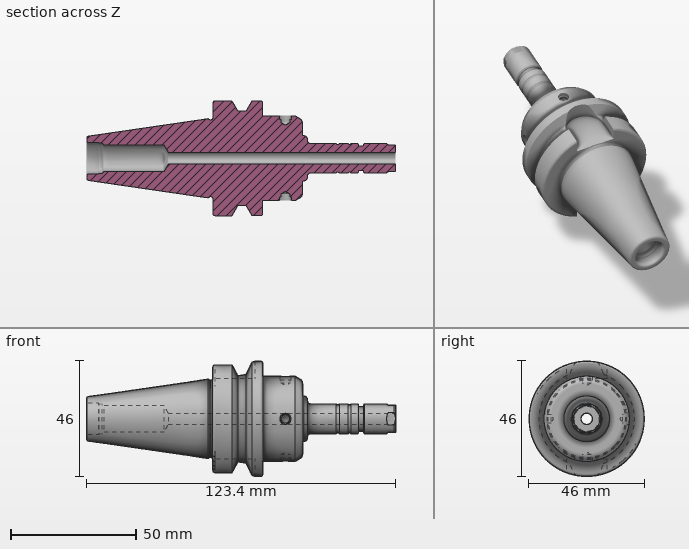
import cadquery as cq
import math


TAPER_RATE = 7 / 24
TAPER_SMALL_DIA = 17.6
TAPER_END = 48.5
TAPER_TIP_FILLET = 1.0
NECK_DIA = 30.8
NECK_START = 49.2
NECK_ROOT_ROUND = 0.9

FLANGE_DIA = 46.0
FLANGE_START = 50.3
FLANGE_END = 70.3
FLANGE_ROUND = 1.0
GROOVE_DIA = 38.0
GROOVE_BOTTOM_START = 60.3
GROOVE_BOTTOM_END = 63.7
GROOVE_WALL_ANGLE = 30

SLOT_WIDTH = 16.2
SLOT_FLOOR = 16.0
SLOT_END = 67.3

BODY_DIA = 34.0
BODY_BEVEL_START = 83.2
BODY_BEVEL_ANGLE = 30
BODY_ROUND = 2.2
BODY_END = 86.3

BOSS_DIA = 18.3
BOSS_END = 88.2
BOSS_ROUND = 1.7
NOSE_ROOT_ROUND = 1.1

NOSE_DIA = 12.0
NOSE_END = 123.4
RING_GROOVE_DEPTH = 0.4
RING_GROOVES = ((99.5, 1.5), (104.3, 1.2))
RELIEF_START = 108.6
RELIEF_ROUND = 0.7
RELIEF_END = 110.5
RELIEF_DIA = 10.0
NUT_CHAMFER = 0.5
NOSE_TIP_CHAMFER = 0.7

FLAT_HEIGHT = 5.4
FLAT_START = 120.7
FLAT_CUTTER_RADIUS = 1.1
FLAT_COUNT = 4

THROUGH_DIA = 4.5
BORE_DIA = 12.5
BORE_MOUTH_ROUND = 0.7
BORE_DEPTH = 4.7
THREAD_DIA = 12.0
THREAD_END = 6.2
CORE_DIA = 10.5
CORE_END = 30.8
DRILL_TIP_ANGLE = 59

SCREW_X = 79.3
SCREW_MOUTH_DIA = 4.5
SCREW_MOUTH_DEPTH = 1.5
SCREW_DIA = 3.5
SCREW_DEPTH = 2.7
SCREW_COUNT = 4


def revolve_about_x(outline):
    """Close a half outline and turn it into a solid around the X axis."""
    return outline.close().revolve(360, (0, 0, 0), (1, 0, 0))


def turn_about_x(shape, index, count):
    """Turn a shape to its place among `count` evenly spaced copies around the axis."""
    return shape.rotate((0, 0, 0), (1, 0, 0), index * 360 / count)


def make_taper():
    small_radius = TAPER_SMALL_DIA / 2
    large_radius = small_radius + TAPER_END * TAPER_RATE / 2
    root = NECK_ROOT_ROUND
    taper = revolve_about_x(
        cq.Workplane("XY")
        .lineTo(0, small_radius)
        .lineTo(TAPER_END, large_radius)
        .lineTo(NECK_START, NECK_DIA / 2)
        .lineTo(FLANGE_START - root, NECK_DIA / 2)
        .radiusArc((FLANGE_START, NECK_DIA / 2 + root), -root)
        .lineTo(FLANGE_START, 0)
    )
    return taper.faces("<X").edges().fillet(TAPER_TIP_FILLET)


def make_slot_cutter():
    """A cutter for the top drive slot: open at the taper side, round at the other end."""
    half_width = SLOT_WIDTH / 2
    round_center = SLOT_END - half_width
    return (
        cq.Workplane("XY", origin=(0, 0, SLOT_FLOOR))
        .moveTo(FLANGE_START, -half_width)
        .lineTo(round_center, -half_width)
        .threePointArc((SLOT_END, 0), (round_center, half_width))
        .lineTo(FLANGE_START, half_width)
        .close()
        .extrude(FLANGE_DIA / 2 - SLOT_FLOOR)
    )


def make_flange():
    radius = FLANGE_DIA / 2
    groove_radius = GROOVE_DIA / 2
    wall_run = (radius - groove_radius) * math.tan(math.radians(GROOVE_WALL_ANGLE))
    flange = revolve_about_x(
        cq.Workplane("XY")
        .moveTo(FLANGE_START, 0)
        .lineTo(FLANGE_START, radius)
        .lineTo(GROOVE_BOTTOM_START - wall_run, radius)
        .lineTo(GROOVE_BOTTOM_START, groove_radius)
        .lineTo(GROOVE_BOTTOM_END, groove_radius)
        .lineTo(GROOVE_BOTTOM_END + wall_run, radius)
        .lineTo(FLANGE_END, radius)
        .lineTo(FLANGE_END, 0)
    )
    flange = flange.faces("<X or >X").edges().fillet(FLANGE_ROUND)
    slot = make_slot_cutter()
    return flange.cut(slot).cut(slot.mirror("XY"))


def make_screw_hole():
    """A stepped hole with a pointed bottom, opening on top of the body."""
    mouth = SCREW_MOUTH_DIA / 2
    radius = SCREW_DIA / 2
    surface = BODY_DIA / 2
    step = surface - SCREW_MOUTH_DEPTH
    bottom = surface - SCREW_DEPTH
    tip = bottom - radius / math.tan(math.radians(DRILL_TIP_ANGLE))
    return (
        cq.Workplane("XZ")
        .moveTo(0, tip)
        .lineTo(radius, bottom)
        .lineTo(radius, step)
        .lineTo(mouth, step)
        .lineTo(mouth, surface)
        .lineTo(0, surface)
        .close()
        .revolve(360, (0, 0, 0), (0, 1, 0))
        .translate((SCREW_X, 0, 0))
    )


def make_body():
    angle = math.radians(BODY_BEVEL_ANGLE)
    radius = BODY_DIA / 2
    face_radius = radius - (BODY_END - BODY_BEVEL_START) * math.tan(angle)
    body = revolve_about_x(
        cq.Workplane("XY")
        .moveTo(FLANGE_END, 0)
        .lineTo(FLANGE_END, radius)
        .lineTo(BODY_BEVEL_START, radius)
        .lineTo(BODY_END, face_radius)
        .lineTo(BODY_END, 0)
    )
    body = body.faces(">X").edges().fillet(BODY_ROUND)
    screw_hole = make_screw_hole()
    for index in range(SCREW_COUNT):
        body = body.cut(turn_about_x(screw_hole, index, SCREW_COUNT))
    return body


def make_ring_groove(start, width):
    """A shallow round-bottomed groove around the nose."""
    radius = NOSE_DIA / 2
    return revolve_about_x(
        cq.Workplane("XY")
        .moveTo(start, radius)
        .threePointArc((start + width / 2, radius - RING_GROOVE_DEPTH), (start + width, radius))
    )


def make_flat_cutter():
    """A cutter for the top wrench flat, ending in a round run-out."""
    cutter_top = FLAT_HEIGHT + FLAT_CUTTER_RADIUS
    return (
        cq.Workplane("XZ")
        .moveTo(FLAT_START, FLAT_HEIGHT)
        .lineTo(NOSE_END, FLAT_HEIGHT)
        .lineTo(NOSE_END, cutter_top)
        .lineTo(FLAT_START - FLAT_CUTTER_RADIUS, cutter_top)
        .radiusArc((FLAT_START, FLAT_HEIGHT), -FLAT_CUTTER_RADIUS)
        .close()
        .extrude(NOSE_DIA / 2, both=True)
    )


def make_nose():
    """The rounded boss, the nose cylinder and the nut, with their grooves and flats."""
    radius = NOSE_DIA / 2
    boss = BOSS_DIA / 2
    root = NOSE_ROOT_ROUND
    nose = revolve_about_x(
        cq.Workplane("XY")
        .moveTo(BODY_END, 0)
        .lineTo(BODY_END, boss)
        .lineTo(BOSS_END - BOSS_ROUND, boss)
        .radiusArc((BOSS_END, boss - BOSS_ROUND), BOSS_ROUND)
        .lineTo(BOSS_END, radius + root)
        .radiusArc((BOSS_END + root, radius), -root)
        .lineTo(RELIEF_START - RELIEF_ROUND, radius)
        .radiusArc((RELIEF_START, radius - RELIEF_ROUND), RELIEF_ROUND)
        .lineTo(RELIEF_START, RELIEF_DIA / 2)
        .lineTo(RELIEF_END, RELIEF_DIA / 2)
        .lineTo(RELIEF_END, radius - NUT_CHAMFER)
        .lineTo(RELIEF_END + NUT_CHAMFER, radius)
        .lineTo(NOSE_END - NOSE_TIP_CHAMFER, radius)
        .lineTo(NOSE_END, radius - NOSE_TIP_CHAMFER)
        .lineTo(NOSE_END, 0)
    )
    for start, width in RING_GROOVES:
        nose = nose.cut(make_ring_groove(start, width))
    flat_cutter = make_flat_cutter()
    for index in range(FLAT_COUNT):
        nose = nose.cut(turn_about_x(flat_cutter, index, FLAT_COUNT))
    return nose


def make_bore():
    radius = BORE_DIA / 2
    thread = THREAD_DIA / 2
    core = CORE_DIA / 2
    through = THROUGH_DIA / 2
    cone_run = (core - through) / math.tan(math.radians(DRILL_TIP_ANGLE))
    return revolve_about_x(
        cq.Workplane("XY")
        .lineTo(0, radius + BORE_MOUTH_ROUND)
        .radiusArc((BORE_MOUTH_ROUND, radius), -BORE_MOUTH_ROUND)
        .lineTo(BORE_DEPTH, radius)
        .lineTo(BORE_DEPTH + radius - thread, thread)
        .lineTo(THREAD_END, thread)
        .lineTo(THREAD_END + thread - core, core)
        .lineTo(CORE_END, core)
        .lineTo(CORE_END + cone_run, through)
        .lineTo(NOSE_END, through)
        .lineTo(NOSE_END, 0)
    )


result = make_taper().union(make_flange()).union(make_body()).union(make_nose())
result = result.cut(make_bore())